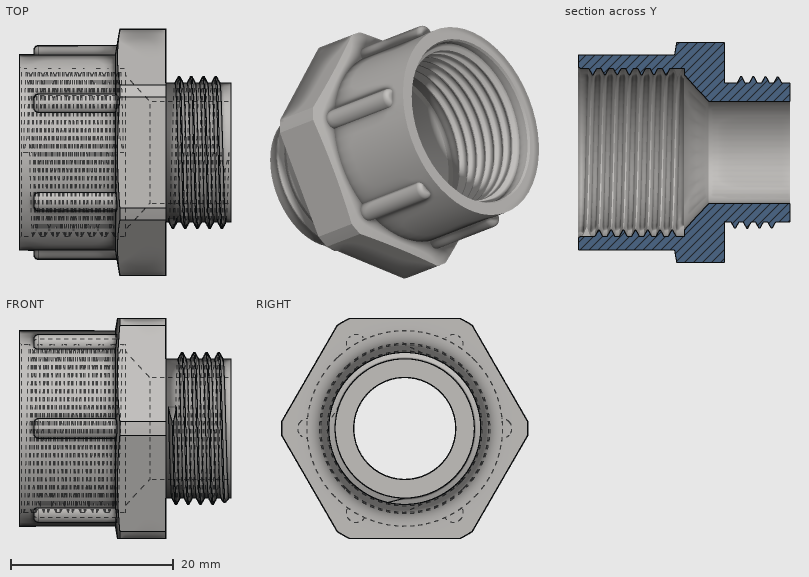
import cadquery as cq
import math

total_length = 26.0
hex_across_flats = 27.0
hex_corner_diameter = 30.25
hex_end_x = 18.0
hex_face_inner_x = 11.8
hex_face_outer_x = 12.35

socket_diameter = 24.0
socket_bore_diameter = 20.6
mouth_diameter = 20.93
mouth_depth = 0.3
spigot_diameter = 17.1
passage_diameter = 12.5
shoulder_x = 13.0
cone_end_x = 16.03
cone_mouth_diameter = 19.02

rib_count = 6
rib_radius = 1.2
rib_center_radius = 11.9
rib_start_x = 1.78
rib_end_round = 0.6

five_pitch_length = 7.5
thread_pitch = five_pitch_length / 5
thread_height = 0.8
thread_root_width = 1.0
thread_crest_width = 0.15
thread_overlap = 0.1
runout_angle = 13.0
ramp_overrun = 0.5
outer_thread_start_x = 18.78
outer_thread_start_angle = 162.0
outer_thread_turns = 4.3
inner_thread_start_x = 1.03
inner_thread_start_angle = 270.0
inner_thread_turns = 7.5


def disc(diameter, start_x, end_x):
    """Solid cylinder along X."""
    return cq.Workplane("YZ", origin=(start_x, 0, 0)).circle(diameter / 2).extrude(end_x - start_x)


def polar(radius, angle):
    return (radius * math.cos(math.radians(angle)), radius * math.sin(math.radians(angle)))


def runout_cutter(root_radius, crest_radius, end_angle, inward_sign):
    """Wedge that ramps one end of a ridge from its root to its crest."""
    root = polar(root_radius, end_angle)
    crest = polar(crest_radius, end_angle + inward_sign * runout_angle)
    ramp = (crest[0] - root[0], crest[1] - root[1])
    above_crest = (crest[0] + ramp_overrun * ramp[0], crest[1] + ramp_overrun * ramp[1])
    below_root = (root[0] - ramp_overrun * ramp[0], root[1] - ramp_overrun * ramp[1])
    behind = polar(2 * crest_radius - root_radius, end_angle - inward_sign * runout_angle)
    return (
        cq.Workplane("XY", origin=(0, 0, -thread_pitch / 2))
        .polyline([below_root, above_crest, behind])
        .close()
        .extrude(thread_pitch)
    )


def thread_ridge(root_radius, outward, turns, start_x, start_angle):
    """Helical ridge on a cylinder; outward is 1 for a male and -1 for a female thread."""
    length = turns * thread_pitch
    crest_radius = root_radius + outward * thread_height
    sunk_radius = root_radius - outward * thread_overlap
    flank_run = (thread_root_width - thread_crest_width) / 2 / thread_height
    sunk_half_width = thread_root_width / 2 + thread_overlap * flank_run
    crest_half_width = thread_crest_width / 2
    path = cq.Wire.makeHelix(thread_pitch, length, root_radius)
    ridge = (
        cq.Workplane("XZ")
        .polyline([
            (sunk_radius, -sunk_half_width),
            (crest_radius, -crest_half_width),
            (crest_radius, crest_half_width),
            (sunk_radius, sunk_half_width),
        ])
        .close()
        .sweep(cq.Workplane(path), isFrenet=True)
    )
    ridge = ridge.cut(runout_cutter(root_radius, crest_radius, 0, 1))
    end_cutter = runout_cutter(root_radius, crest_radius, 360 * turns, -1)
    ridge = ridge.cut(end_cutter.translate((0, 0, length)))
    return (
        ridge.rotate((0, 0, 0), (0, 0, 1), start_angle)
        .rotate((0, 0, 0), (1, 1, 1), 120)
        .translate((start_x, 0, 0))
    )


def hex_collar():
    """Hexagon with turned corners and a shallow conical face toward the socket."""
    hexagon = (
        cq.Workplane("YZ", origin=(hex_face_inner_x, 0, 0))
        .polygon(6, hex_across_flats / math.cos(math.pi / 6))
        .extrude(hex_end_x - hex_face_inner_x)
    )
    turned_blank = (
        cq.Workplane("XY")
        .polyline([
            (hex_face_inner_x, 0),
            (hex_face_inner_x, socket_diameter / 2),
            (hex_face_outer_x, hex_corner_diameter / 2),
            (hex_end_x, hex_corner_diameter / 2),
            (hex_end_x, 0),
        ])
        .close()
        .revolve(360, (0, 0, 0), (1, 0, 0))
    )
    return hexagon.intersect(turned_blank)


def grip_rib(angle):
    """Round rib lying on the socket wall, with a rounded free end."""
    rib_end_x = (hex_face_outer_x + hex_end_x) / 2
    rib = disc(2 * rib_radius, rib_start_x, rib_end_x).faces("<X").edges().fillet(rib_end_round)
    return rib.translate((0, rib_center_radius, 0)).rotate((0, 0, 0), (1, 0, 0), angle)


def bore():
    """Flared mouth, threaded socket bore, flat shoulder, cone and through passage."""
    return (
        cq.Workplane("XY")
        .polyline([
            (0, 0),
            (0, mouth_diameter / 2),
            (mouth_depth, socket_bore_diameter / 2),
            (shoulder_x, socket_bore_diameter / 2),
            (shoulder_x, cone_mouth_diameter / 2),
            (cone_end_x, passage_diameter / 2),
            (total_length, passage_diameter / 2),
            (total_length, 0),
        ])
        .close()
        .revolve(360, (0, 0, 0), (1, 0, 0))
    )


body = disc(socket_diameter, 0, hex_end_x)
body = body.union(hex_collar())
body = body.union(disc(spigot_diameter, hex_end_x, total_length))
for rib_index in range(rib_count):
    body = body.union(grip_rib(rib_index * 360 / rib_count))
body = body.cut(bore())

outer_thread = thread_ridge(
    spigot_diameter / 2, 1, outer_thread_turns, outer_thread_start_x, outer_thread_start_angle
)
inner_thread = thread_ridge(
    socket_bore_diameter / 2, -1, inner_thread_turns, inner_thread_start_x, inner_thread_start_angle
)
result = body.union(outer_thread).union(inner_thread)